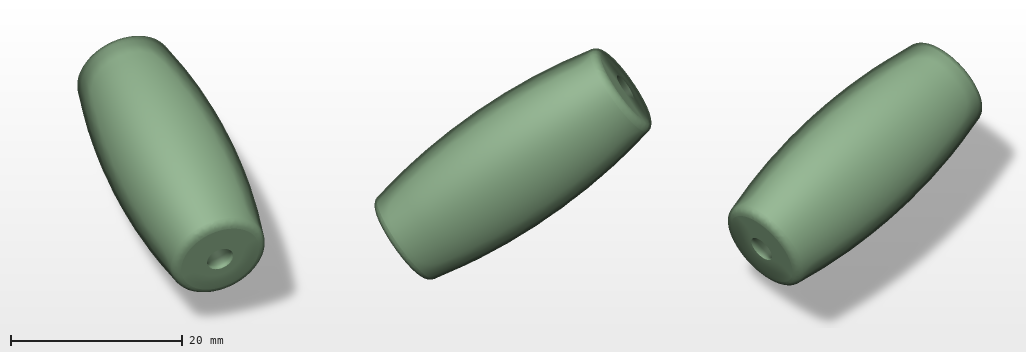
import cadquery as cq

length = 32.5
middle_diameter = 15.0
end_diameter = 11.35
edge_radius = 1.0
bore_diameter = 3.25

half_length = length / 2
middle_radius = middle_diameter / 2
end_radius = end_diameter / 2

barrel = (
    cq.Workplane("XY")
    .moveTo(-half_length, 0)
    .lineTo(-half_length, end_radius)
    .threePointArc((0, middle_radius), (half_length, end_radius))
    .lineTo(half_length, 0)
    .close()
    .revolve(360, (0, 0, 0), (1, 0, 0))
)

barrel = barrel.faces("<X or >X").edges().fillet(edge_radius)

result = barrel.faces("<X").workplane(centerOption="CenterOfMass").hole(bore_diameter)